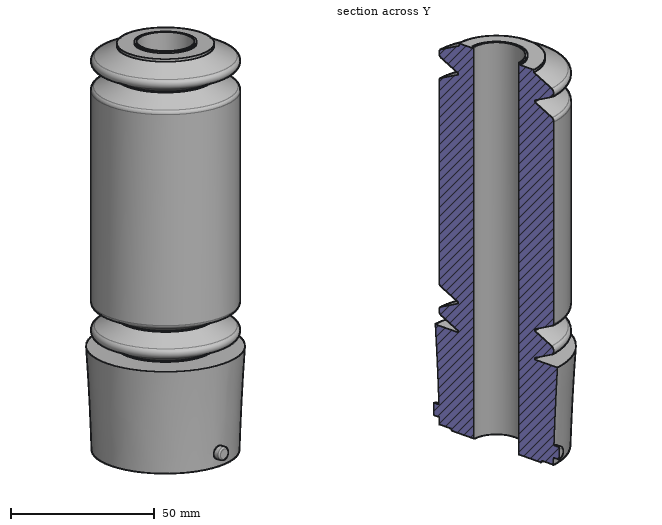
import cadquery as cq
import math

height = 150.8
bore_diameter = 20.0
pin_span = 56.9
pin_diameter = 5.0
pin_height = 6.0
pin_edge_round = 0.6

barrel_radius = 52.0 / 2
neck_radius = 17.3
neck_land = 0.5
cone_angle = math.radians(25)
ridge_round = 2.0
barrel_round = 1.5

collar_top_radius = 55.4 / 2
collar_middle_radius = 26.5
collar_bottom_radius = 25.8
collar_top = 38.9
base_radius = 40.0 / 2
base_step = 0.8
base_flare = 0.8
cap_radius = 34.0 / 2
lip_radius = 10.9
lip_height = 0.6


def cone_rise(round_radius, inner_radius):
    """Height from the centre of an edge round along its tangent cone to inner_radius."""
    tangent_radius = barrel_radius - round_radius * (1 - math.sin(cone_angle))
    return round_radius * math.cos(cone_angle) + (tangent_radius - inner_radius) * math.tan(cone_angle)


def round_point(round_radius, center_z, angle):
    """Point on an edge round, at an angle above the horizontal."""
    return (
        barrel_radius - round_radius * (1 - math.cos(angle)),
        center_z + round_radius * math.sin(angle),
    )


def add_round(profile, round_radius, center_z, start, end):
    """Run straight to an edge round, then along its arc."""
    return profile.lineTo(*round_point(round_radius, center_z, start)).threePointArc(
        round_point(round_radius, center_z, (start + end) / 2),
        round_point(round_radius, center_z, end),
    )


ridge_rise = cone_rise(ridge_round, neck_radius)
barrel_rise = cone_rise(barrel_round, neck_radius)
lower_ridge_z = collar_top + neck_land + ridge_rise
lower_neck_z = lower_ridge_z + ridge_rise
cap_top = height - lip_height
upper_ridge_z = 143.8
cap_bottom = upper_ridge_z + cone_rise(ridge_round, cap_radius)
upper_neck_z = upper_ridge_z - ridge_rise - neck_land
tangent_angle = math.pi / 2 - cone_angle


def make_body():
    """Revolve the complete outer outline about the Z axis."""
    profile = (
        cq.Workplane("XZ")
        .lineTo(base_radius, 0)
        .lineTo(base_radius + base_flare, base_step)
        .lineTo(collar_bottom_radius, base_step)
        .threePointArc(
            (collar_middle_radius, (base_step + collar_top) / 2),
            (collar_top_radius, collar_top),
        )
        .lineTo(neck_radius, collar_top)
        .lineTo(neck_radius, collar_top + neck_land)
    )
    profile = add_round(profile, ridge_round, lower_ridge_z, -tangent_angle, tangent_angle)
    profile = profile.lineTo(neck_radius, lower_neck_z).lineTo(neck_radius, lower_neck_z + neck_land)
    profile = add_round(profile, barrel_round, lower_neck_z + neck_land + barrel_rise, -tangent_angle, 0)
    profile = add_round(profile, barrel_round, upper_neck_z - barrel_rise, 0, tangent_angle)
    profile = profile.lineTo(neck_radius, upper_neck_z).lineTo(neck_radius, upper_neck_z + neck_land)
    profile = add_round(profile, ridge_round, upper_ridge_z, -tangent_angle, tangent_angle)
    profile = (
        profile.lineTo(cap_radius, cap_bottom)
        .lineTo(cap_radius, cap_top)
        .lineTo(lip_radius, cap_top)
        .lineTo(lip_radius, height)
        .lineTo(0, height)
        .close()
    )
    return profile.revolve(360, (0, 0, 0), (0, 1, 0))


def make_pins():
    """Cross pin standing out of both sides of the collar, with rounded ends."""
    return (
        cq.Workplane("YZ")
        .center(0, pin_height)
        .circle(pin_diameter / 2)
        .extrude(pin_span / 2, both=True)
        .edges("<X or >X")
        .fillet(pin_edge_round)
    )


bore = cq.Workplane("XY").circle(bore_diameter / 2).extrude(height)
result = make_body().union(make_pins()).cut(bore)